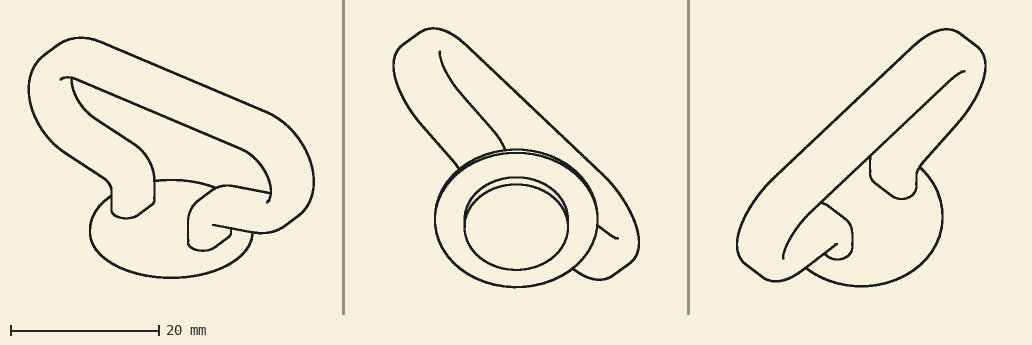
import cadquery as cq
import math

overall_height = 26.0
plate_diameter = 22.0
plate_thickness = 1.8
plate_edge_radius = 1.5
spigot_diameter = 14.0
spigot_height = 1.7
plate_top = spigot_height + plate_thickness

overall_width = 45.0
bar_thickness = 4.0
bar_depth = 7.0
top_half_length = 14.0
leg_offset = 6.5
leg_bend_height = 6.75
leg_bend_radius = 3.0
end_bend_radius = overall_width / 2 - top_half_length - bar_thickness / 2

top_z = overall_height - bar_thickness / 2
end_x = top_half_length
end_z = top_z - end_bend_radius
leg_x = leg_offset + leg_bend_radius

center_dx = end_x - leg_x
center_dz = end_z - leg_bend_height
slope = (
    math.acos((end_bend_radius + leg_bend_radius) / math.hypot(center_dx, center_dz))
    - math.atan2(center_dx, center_dz)
)


def on_circle(x, z, radius, angle):
    """Point on a circle in the XZ plane."""
    return (x + radius * math.cos(angle), z + radius * math.sin(angle))


def make_base():
    spigot = cq.Workplane("XY").circle(spigot_diameter / 2).extrude(spigot_height)
    plate = (
        cq.Workplane("XY", origin=(0, 0, spigot_height))
        .circle(plate_diameter / 2)
        .extrude(plate_thickness)
        .faces(">Z")
        .edges()
        .fillet(plate_edge_radius)
    )
    return spigot.union(plate)


def make_half_handle():
    """The +X half, swept from the plate to the middle of the top bar."""
    leg_bend_end = math.pi / 2 + slope
    leg_bend_middle = (math.pi + leg_bend_end) / 2
    end_bend_start = slope - math.pi / 2
    end_bend_middle = (end_bend_start + math.pi / 2) / 2
    path = (
        cq.Workplane("XZ")
        .moveTo(leg_offset, plate_top)
        .lineTo(leg_offset, leg_bend_height)
        .threePointArc(
            on_circle(leg_x, leg_bend_height, leg_bend_radius, leg_bend_middle),
            on_circle(leg_x, leg_bend_height, leg_bend_radius, leg_bend_end),
        )
        .lineTo(*on_circle(end_x, end_z, end_bend_radius, end_bend_start))
        .threePointArc(
            on_circle(end_x, end_z, end_bend_radius, end_bend_middle),
            (end_x, top_z),
        )
        .lineTo(0, top_z)
    )
    return (
        cq.Workplane("XY", origin=(leg_offset, 0, plate_top))
        .slot2D(bar_depth, bar_thickness, 90)
        .sweep(path)
    )


half_handle = make_half_handle()
result = make_base().union(half_handle).union(half_handle.mirror("YZ"))